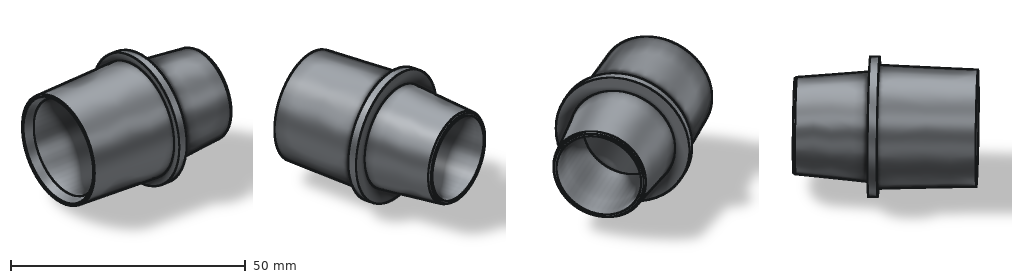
import cadquery as cq

total_length = 39.0
flange_thickness = 2.0
wide_length = 21.0
flange_back = wide_length + flange_thickness

flange_diameter = 30.0
wide_root_diameter = 26.45
wide_mouth_diameter = 25.05
narrow_root_diameter = 23.6
narrow_tip_diameter = 20.8

tip_chamfer_length = 0.5
tip_chamfer_width = 0.3

lead_in_diameter = 24.0
lead_in_depth = 2.0
socket_diameter = 22.0
socket_depth = wide_length
bore_diameter = 19.0


def revolve_profile(stations):
    """Revolve a (diameter, y) profile about the Y axis."""
    points = [(diameter / 2, y) for diameter, y in stations]
    return cq.Workplane("XY").polyline(points).close().revolve(360, (0, 0), (0, 1))


body = revolve_profile([
    (0, 0),
    (wide_mouth_diameter, 0),
    (wide_root_diameter, wide_length),
    (flange_diameter, wide_length),
    (flange_diameter, flange_back),
    (narrow_root_diameter, flange_back),
    (narrow_tip_diameter, total_length - tip_chamfer_length),
    (narrow_tip_diameter - 2 * tip_chamfer_width, total_length),
    (0, total_length),
])

bore = revolve_profile([
    (0, 0),
    (lead_in_diameter, 0),
    (socket_diameter, lead_in_depth),
    (socket_diameter, socket_depth),
    (bore_diameter, socket_depth),
    (bore_diameter, total_length),
    (0, total_length),
])

result = body.cut(bore)